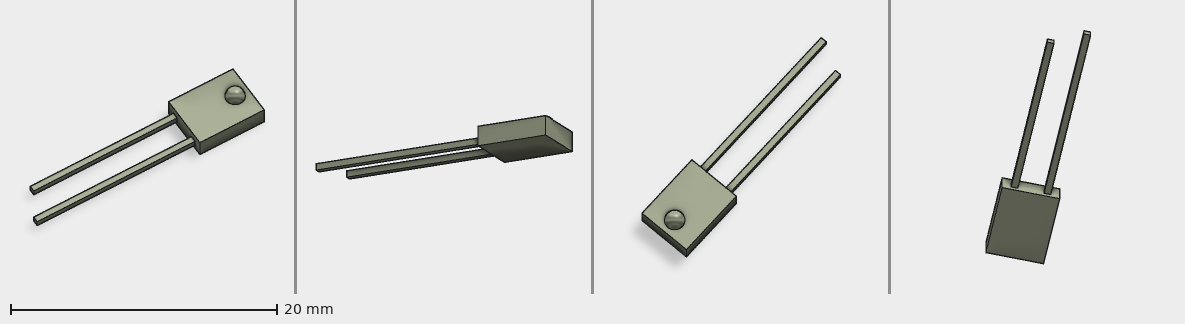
import cadquery as cq

total_length = 19.68
body_width = 4.45
body_length = 5.7
body_height = 1.55

lens_radius = 0.77
lens_from_back = 1.2

lead_size = 0.51
lead_pitch = 2.54
lead_center_height = 0.63
long_lead_length = total_length - body_length
short_lead_length = long_lead_length - 1.28


def make_body():
    """Package with its front face on Y = 0 and its base on Z = 0."""
    return cq.Workplane("XY").box(
        body_width, body_length, body_height, centered=(True, False, False)
    )


def make_lens():
    """Sphere centred on the top face; its lower half lies inside the body."""
    lens_center = (0, body_length - lens_from_back, body_height)
    return cq.Workplane("XY").sphere(lens_radius).translate(lens_center)


def make_lead(x, length):
    """Square lead extending from the front face toward -Y."""
    return (
        cq.Workplane("XZ")
        .center(x, lead_center_height)
        .rect(lead_size, lead_size)
        .extrude(length)
    )


result = make_body().union(make_lens())
for lead_x, lead_length in (
    (-lead_pitch / 2, short_lead_length),
    (lead_pitch / 2, long_lead_length),
):
    result = result.union(make_lead(lead_x, lead_length))